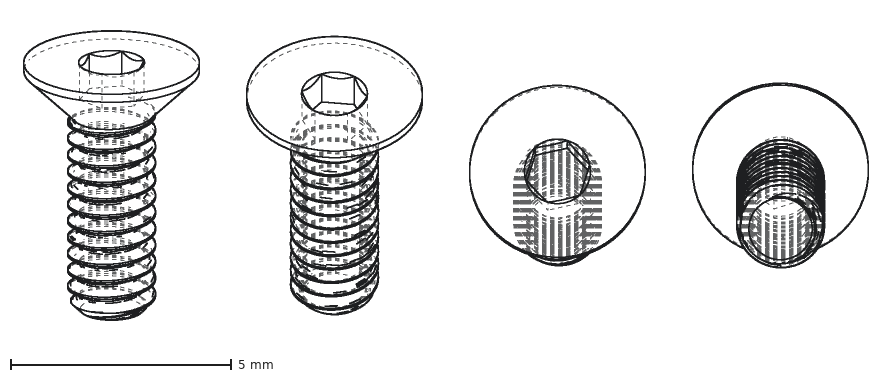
import cadquery as cq
import math

thread_diameter = 2.0
pitch = 0.4
thread_angle = 60.0
overall_length = 6.0
head_diameter = 4.0
rim_height = 0.195
hex_across_flats = 1.3
socket_depth = 0.84
socket_bevel_angle = 45.0
tip_radius = 0.72
crest_height_at_x = 0.33
head_cone_overlap = 0.07
tip_clearance = 0.1
flank_samples = 24

thread_radius = thread_diameter / 2
flat_width = pitch / 8
flank_slope = math.tan(math.radians(thread_angle / 2))
thread_depth = (pitch - 2 * flat_width) / 2 / flank_slope
root_radius = thread_radius - thread_depth

head_radius = head_diameter / 2
cone_top = overall_length - rim_height
buried_radius = root_radius - head_cone_overlap
cone_bottom = cone_top - (head_radius - buried_radius)
shank_top = cone_top - (head_radius - thread_radius)


def make_threaded_shank():
    """Right-handed thread, made by twisting its level cross-section up the axis.

    Cut level, the thread shows a crest arc, a root arc and two spiral flanks between them.
    """
    crest_angle = -360 * crest_height_at_x / pitch
    half_flat_angle = 180 * flat_width / pitch
    flank_angle = 180 - 2 * half_flat_angle

    def polar(radius, degrees):
        angle = math.radians(crest_angle + degrees)
        return (radius * math.cos(angle), radius * math.sin(angle))

    def falling_flank(t):
        return polar(thread_radius - t * thread_depth, half_flat_angle + t * flank_angle)

    def rising_flank(t):
        return polar(root_radius + t * thread_depth, 180 + half_flat_angle + t * flank_angle)

    return (
        cq.Workplane("XY")
        .moveTo(*polar(thread_radius, -half_flat_angle))
        .threePointArc(polar(thread_radius, 0), polar(thread_radius, half_flat_angle))
        .parametricCurve(falling_flank, N=flank_samples, makeWire=False)
        .moveTo(*polar(root_radius, 180 - half_flat_angle))
        .threePointArc(polar(root_radius, 180), polar(root_radius, 180 + half_flat_angle))
        .parametricCurve(rising_flank, N=flank_samples, makeWire=False)
        .wire()
        .twistExtrude(shank_top, 360 * shank_top / pitch)
    )


def make_tip_cutter():
    """Ring that leaves a 45 degree chamfer on the end of the thread."""
    outer_radius = thread_radius + tip_clearance
    return (
        cq.Workplane("XZ")
        .moveTo(tip_radius - tip_clearance, -tip_clearance)
        .lineTo(outer_radius, -tip_clearance)
        .lineTo(outer_radius, outer_radius - tip_radius)
        .close()
        .revolve(360, (0, 0, 0), (0, 1, 0))
    )


def make_head():
    """Countersunk head with a straight rim."""
    return (
        cq.Workplane("XZ")
        .moveTo(0, cone_bottom)
        .lineTo(buried_radius, cone_bottom)
        .lineTo(head_radius, cone_top)
        .lineTo(head_radius, overall_length)
        .lineTo(0, overall_length)
        .close()
        .revolve(360, (0, 0, 0), (0, 1, 0))
    )


def make_socket():
    """Hexagon socket with corners on the Y axis and a conical bevel at its mouth."""
    across_corners = hex_across_flats / math.cos(math.radians(30))
    mouth_radius = across_corners / 2
    inner_radius = hex_across_flats / 2
    bevel_depth = (mouth_radius - inner_radius) * math.tan(math.radians(socket_bevel_angle))
    hexagon = (
        cq.Workplane("XY", origin=(0, 0, overall_length - socket_depth))
        .transformed(rotate=(0, 0, 90))
        .polygon(6, across_corners)
        .extrude(socket_depth)
    )
    bevel = (
        cq.Workplane("XZ")
        .moveTo(0, overall_length - bevel_depth)
        .lineTo(inner_radius, overall_length - bevel_depth)
        .lineTo(mouth_radius, overall_length)
        .lineTo(0, overall_length)
        .close()
        .revolve(360, (0, 0, 0), (0, 1, 0))
    )
    return hexagon, bevel


threaded_shank = make_threaded_shank().cut(make_tip_cutter())
result = threaded_shank.union(make_head())
for cutter in make_socket():
    result = result.cut(cutter)